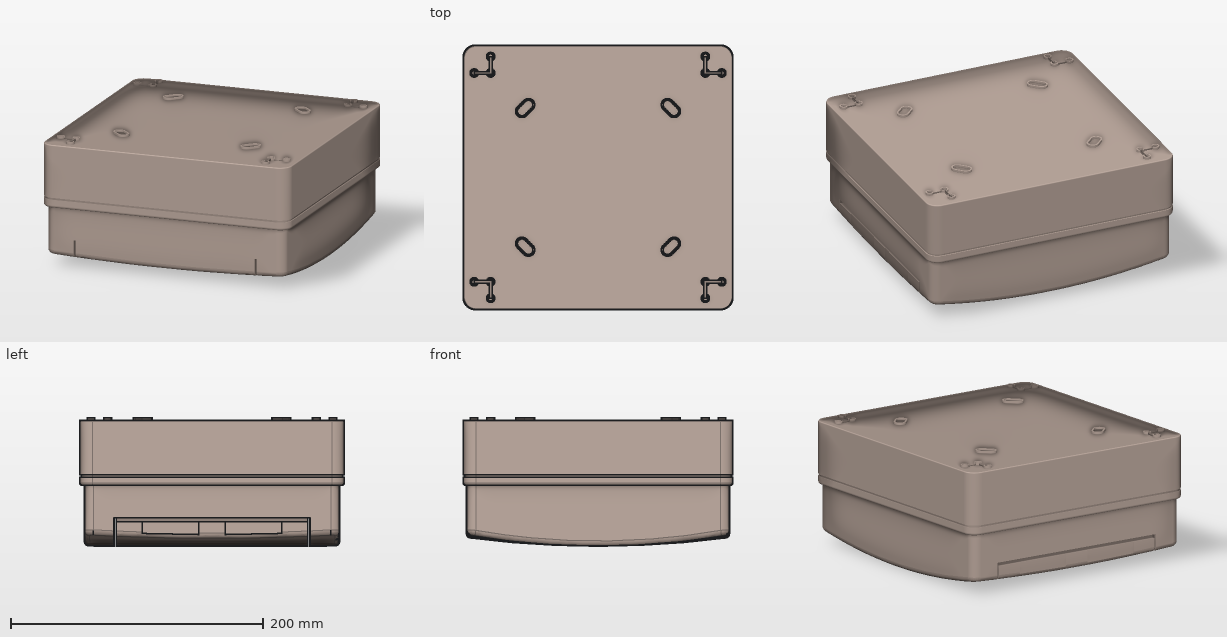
import cadquery as cq


base_length = 214.0
base_width = 210.0
overall_height = 101.9
foot_height = 2.0
back_z = overall_height - foot_height

base_corner = 10.0
back_edge_fillet = 0.9
base_bottom_z = 48.2
rim_fillet = 2.1
seam_z = 54.8
seam_height = 1.7
seam_depth = 1.0

lid_inset_x = 2.5
lid_inset_y = 3.6
lid_length = base_length - 2 * lid_inset_x
lid_width = base_width - 2 * lid_inset_y
lid_corner = 7.3
lid_top_z = base_bottom_z + rim_fillet
lid_edge_fillet = 4.3
dome_end_rise_middle = 7.0
dome_end_rise_side = 10.7

below_lid_z = -2.1
door_half_width = 76.0
door_gap = 1.7
door_gap_top_z = 22.5
door_top_z = 19.5
door_top_gap_depth = 2.5

grip_centre_y = 33.0
grip_width = 45.0
grip_depth = 0.2

foot_radius = 3.2
foot_hole_radius = 2.1
foot_x = 85.2
foot_y = 82.8
foot_pitch = 13.0
channel_width = 2.4
channel_depth = 1.3

ring_x = 57.8
ring_y = 55.0
ring_length = 17.1
ring_outer_width = 9.8
ring_wall = 1.3


def rounded_block(length, width, bottom_z, top_z, corner):
    block = cq.Workplane("XY").workplane(offset=bottom_z).rect(length, width).extrude(top_z - bottom_z)
    return block.edges("|Z").fillet(corner)


def make_base():
    """Upper shell with a softened back edge, a rounded rim and a seam groove."""
    base = rounded_block(base_length, base_width, base_bottom_z, back_z, base_corner)
    base = base.faces(">Z").edges().fillet(back_edge_fillet)
    base = base.faces("<Z").edges().fillet(rim_fillet)
    seam_top_z = seam_z + seam_height
    inset = 2 * seam_depth
    core = rounded_block(
        base_length - inset, base_width - inset, seam_z, seam_top_z, base_corner - seam_depth
    )
    band = cq.Workplane("XY").workplane(offset=seam_z).rect(2 * base_length, 2 * base_width)
    return base.cut(band.extrude(seam_height).cut(core))


def dome_section(y, end_z):
    """Closed XZ profile at the given Y, with the dome arc as its lower side."""
    half = base_length / 2
    profile = cq.Workplane("XZ", origin=(0, y, 0)).moveTo(-half, lid_top_z).lineTo(-half, end_z)
    profile = profile.threePointArc((0, 0), (half, end_z)).lineTo(half, lid_top_z).close()
    return profile.val()


def make_lid():
    """Lid whose lower face is domed along X and flatter towards the middle of Y."""
    sections = [
        dome_section(-base_width / 2, dome_end_rise_side),
        dome_section(0, dome_end_rise_middle),
        dome_section(base_width / 2, dome_end_rise_side),
    ]
    dome = cq.Workplane(cq.Solid.makeLoft(sections))
    lid = rounded_block(lid_length, lid_width, below_lid_z, lid_top_z, lid_corner).intersect(dome)
    return lid.faces("<Z").edges().fillet(lid_edge_fillet)


def box_between(x_range, y_range, z_range):
    size = [high - low for low, high in (x_range, y_range, z_range)]
    corner = (x_range[0], y_range[0], z_range[0])
    return cq.Workplane("XY", origin=corner).box(*size, centered=False)


def cut_door(body):
    """Gaps around three sides of the door, and the two grip recesses on its -X edge."""
    lid_face_x = -lid_length / 2
    door_edge_y = door_half_width + door_gap
    for low_y in (-door_edge_y, door_half_width):
        side_gap = box_between(
            (-base_length, base_length), (low_y, low_y + door_gap), (below_lid_z, door_gap_top_z)
        )
        body = body.cut(side_gap)
    top_gap = box_between(
        (-base_length, lid_face_x + door_top_gap_depth),
        (-door_edge_y, door_edge_y),
        (door_top_z, door_gap_top_z),
    )
    body = body.cut(top_gap)
    for centre_y in (-grip_centre_y, grip_centre_y):
        grip = box_between(
            (-base_length, lid_face_x + grip_depth),
            (centre_y - grip_width / 2, centre_y + grip_width / 2),
            (below_lid_z, door_top_z),
        )
        body = body.cut(grip)
    return body


def add_corner_foot(body, side_x, side_y):
    inner = (side_x * foot_x, side_y * foot_y)
    outer_x = side_x * (foot_x + foot_pitch)
    outer_y = side_y * (foot_y + foot_pitch)
    start_x = side_x * (foot_x - channel_width / 2)
    start_y = side_y * (foot_y - channel_width / 2)
    centres = [inner, (outer_x, inner[1]), (inner[0], outer_y)]
    bosses = cq.Workplane("XY").workplane(offset=back_z).pushPoints(centres)
    body = body.union(bosses.circle(foot_radius).circle(foot_hole_radius).extrude(foot_height))
    channel_z = (back_z - channel_depth, overall_height)
    half = channel_width / 2
    along_x = box_between(sorted((start_x, outer_x)), (inner[1] - half, inner[1] + half), channel_z)
    along_y = box_between((inner[0] - half, inner[0] + half), sorted((start_y, outer_y)), channel_z)
    return body.cut(along_x).cut(along_y)


def add_screw_ring(body, side_x, side_y):
    """Oblong ring lying across the diagonal of its corner."""
    angle = -45 * side_x * side_y
    place = cq.Workplane("XY").workplane(offset=back_z).center(side_x * ring_x, side_y * ring_y)
    outer = place.slot2D(ring_length, ring_outer_width, angle).extrude(foot_height)
    hollow = place.slot2D(ring_length - 2 * ring_wall, ring_outer_width - 2 * ring_wall, angle)
    return body.union(outer.cut(hollow.extrude(foot_height)))


result = make_base().union(make_lid())
result = cut_door(result)
for side_x in (-1, 1):
    for side_y in (-1, 1):
        result = add_corner_foot(result, side_x, side_y)
        result = add_screw_ring(result, side_x, side_y)